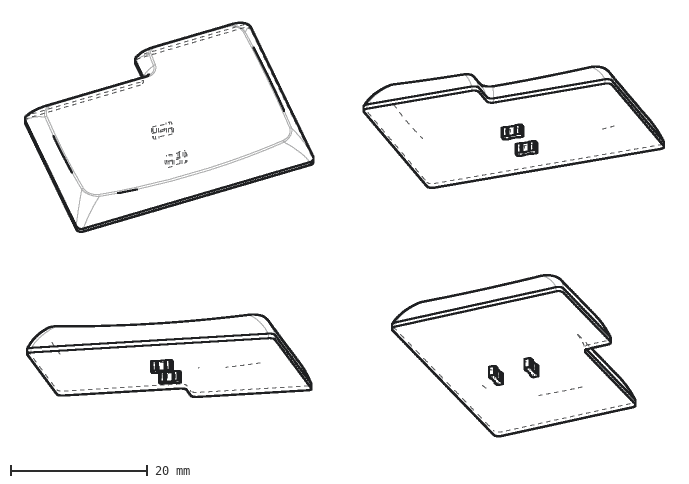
import cadquery as cq
import math


cap_width = 27.5
cap_depth = 37.0
step_width = 4.75
step_depth = 19.0
cap_right = (cap_width - step_width) / 2
cap_left = cap_right - cap_width
cap_back = cap_depth / 2
cap_front = -cap_back
step_x = cap_left + step_width
step_y = cap_front + step_depth

rim_height = 0.7
wall_height = 4.3
wall_lean = 0.24
wall_curvature = 0.095

base_radius = 0.8
outer_top_radius = 2.4
step_top_radius = 1.2
notch_top_radius = 2.2

dish_radius = 150.0
dish_bottom_z = 3.33
dish_x = (cap_left + cap_right) / 2
edge_fillet = 0.35

stem_length = 1.5
prong_spacing = 5.7
prong_half_depth = 1.55
prong_half_width = 0.55
prong_taper_width = 0.13
prong_taper_depth = 0.27
waist_half_depth = 0.475


def wall_inset(height):
    """Distance the wall has moved inwards at a height above the rim."""
    return wall_lean * height + wall_curvature * height**2


def rounded_wire(corners, z):
    """Closed wire through (x, y, radius) corners, each right angle rounded by a tangent arc."""
    arc_middle_fraction = 1 - math.sqrt(0.5)
    starts = []
    middles = []
    ends = []
    for i, (x, y, radius) in enumerate(corners):
        corner = cq.Vector(x, y, z)
        before = cq.Vector(*corners[i - 1][:2], z)
        after = cq.Vector(*corners[(i + 1) % len(corners)][:2], z)
        to_before = (before - corner).normalized()
        to_after = (after - corner).normalized()
        starts.append(corner + to_before * radius)
        middles.append(corner + (to_before + to_after) * (radius * arc_middle_fraction))
        ends.append(corner + to_after * radius)

    edges = []
    for i in range(len(corners)):
        edges.append(cq.Edge.makeThreePointArc(starts[i], middles[i], ends[i]))
        edges.append(cq.Edge.makeLine(ends[i], starts[(i + 1) % len(corners)]))
    return cq.Wire.assembleEdges(edges)


def grown_radius(top_radius, growth):
    """Corner radius after a fraction of its growth from rim to wall top."""
    return base_radius + (top_radius - base_radius) * growth


def wall_section(height):
    """Horizontal section of the walls at a height above the rim."""
    inset = wall_inset(height)
    growth = inset / wall_inset(wall_height)
    outer = grown_radius(outer_top_radius, growth)
    step = grown_radius(step_top_radius, growth)
    notch = grown_radius(notch_top_radius, growth)
    corners = [
        (cap_right - inset, cap_front + inset, outer),
        (cap_right - inset, cap_back - inset, outer),
        (cap_left + inset, cap_back - inset, outer),
        (cap_left + inset, step_y + inset, step),
        (step_x + inset, step_y + inset, notch),
        (step_x + inset, cap_front + inset, outer),
    ]
    return rounded_wire(corners, rim_height + height)


def make_cap():
    """Rim and lofted walls, dished on top with a softened edge."""
    rim_face = cq.Face.makeFromWires(wall_section(0))
    rim = cq.Solid.extrudeLinear(rim_face, cq.Vector(0, 0, -rim_height))
    sections = [wall_section(height) for height in (0, wall_height / 2, wall_height)]
    walls = cq.Solid.makeLoft(sections)
    dish_center = (dish_x, 0, dish_bottom_z + dish_radius)
    dish = cq.Workplane("XZ").sphere(dish_radius).translate(dish_center)
    dished = cq.Workplane(walls).cut(dish)
    softened = dished.faces("%SPHERE").edges().fillet(edge_fillet)
    return softened.union(cq.Workplane(rim))


def make_prong(x):
    """Stem prong centred at x, hanging below the cap."""
    wide = prong_half_width
    narrow = wide - prong_taper_width
    shoulder = waist_half_depth + prong_taper_depth
    tip = prong_half_depth - prong_taper_depth
    half_profile = [
        (narrow, -prong_half_depth),
        (wide, -tip),
        (wide, -shoulder),
        (narrow, -waist_half_depth),
        (narrow, waist_half_depth),
        (wide, shoulder),
        (wide, tip),
        (narrow, prong_half_depth),
    ]
    other_half = [(-px, -py) for px, py in half_profile]
    profile = cq.Workplane("XY").center(x, 0).polyline(half_profile + other_half).close()
    return profile.extrude(-stem_length)


result = make_cap()
for side in (-1, 1):
    result = result.union(make_prong(side * prong_spacing / 2))